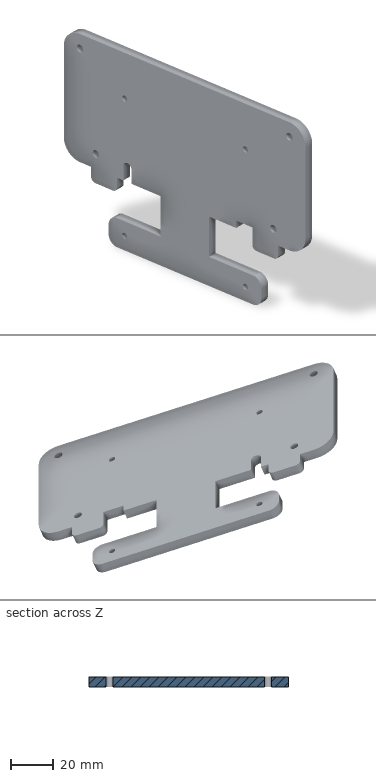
import cadquery as cq
import math

width = 150.0
height = 108.0
thickness = 5.0

panel_bottom = 38.0
panel_radius = 10.0

stem_width = 30.0
foot_x = 0.22
foot_width = 94.8
foot_height = 15.9
foot_corner_width = 4.5
foot_corner_height = 6.0

tab_inner = 42.0
tab_outer = 58.0
tab_bottom = 30.0
tab_radius = 2.5

notch_inner = 32.0
notch_top = 42.0
slot_x = -35.5
slot_width = 5.0
slot_top = 48.3

large_hole = 4.0
upper_hole_x = 65.0
upper_hole_z = 100.0
lower_hole_x = 55.0
lower_hole_z = 46.0
small_hole = 3.2
mount_pitch = 75.0
mount_low_z = foot_height / 2


def block(x_min, x_max, z_min, z_max):
    """Full-thickness rectangular block, centred on Y = 0."""
    return (
        cq.Workplane("XY")
        .box(x_max - x_min, thickness, z_max - z_min)
        .translate(((x_min + x_max) / 2, 0, (z_min + z_max) / 2))
    )


def drill(points, diameter):
    """Cylinders through the plate at the given (x, z) points."""
    return (
        cq.Workplane("XZ")
        .pushPoints(points)
        .circle(diameter / 2)
        .extrude(thickness, both=True)
    )


def rounded_foot():
    """Foot bar whose corner arcs are taller than they are wide."""
    half_width = foot_width / 2
    half_height = foot_height / 2
    inner_x = half_width - foot_corner_width
    inner_z = half_height - foot_corner_height
    middle_x = inner_x + foot_corner_width * math.sqrt(0.5)
    middle_z = inner_z + foot_corner_height * math.sqrt(0.5)
    return (
        cq.Workplane("XZ", origin=(foot_x, 0, half_height))
        .moveTo(-inner_x, half_height)
        .lineTo(inner_x, half_height)
        .threePointArc((middle_x, middle_z), (half_width, inner_z))
        .lineTo(half_width, -inner_z)
        .threePointArc((middle_x, -middle_z), (inner_x, -half_height))
        .lineTo(-inner_x, -half_height)
        .threePointArc((-middle_x, -middle_z), (-half_width, -inner_z))
        .lineTo(-half_width, inner_z)
        .threePointArc((-middle_x, middle_z), (-inner_x, half_height))
        .close()
        .extrude(thickness / 2, both=True)
    )


panel = block(-width / 2, width / 2, panel_bottom, height).edges("|Y").fillet(panel_radius)
stem = block(-stem_width / 2, stem_width / 2, foot_height / 2, panel_bottom + panel_radius)
plate = panel.union(stem).union(rounded_foot())

for x_min, x_max in [(-tab_outer, -tab_inner), (tab_inner, tab_outer)]:
    tab = block(x_min, x_max, tab_bottom, notch_top)
    plate = plate.union(tab.edges("|Y and <Z").fillet(tab_radius))

plate = plate.cut(block(notch_inner, tab_inner, tab_bottom, notch_top))

slot_center_z = slot_top - slot_width / 2
slot = block(slot_x - slot_width / 2, slot_x + slot_width / 2, tab_bottom, slot_center_z)
plate = plate.cut(slot).cut(drill([(slot_x, slot_center_z)], slot_width))

large_points = []
small_points = []
for side in (-1, 1):
    large_points.append((side * upper_hole_x, upper_hole_z))
    large_points.append((side * lower_hole_x, lower_hole_z))
    small_points.append((foot_x + side * mount_pitch / 2, mount_low_z))
    small_points.append((foot_x + side * mount_pitch / 2, mount_low_z + mount_pitch))

result = plate.cut(drill(large_points, large_hole)).cut(drill(small_points, small_hole))